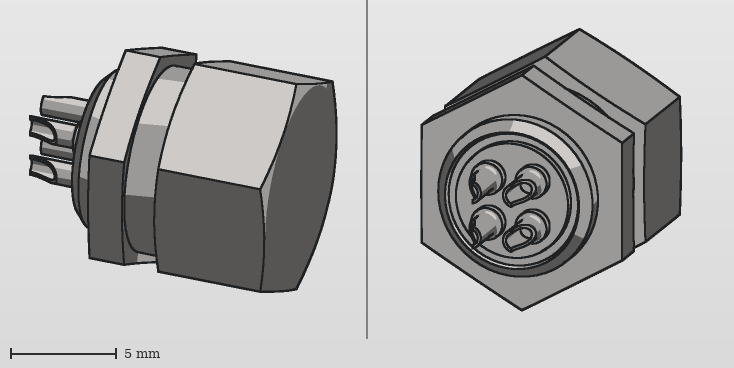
import cadquery as cq
import math

total_length = 13.3

across_flats = 10.0
across_corners = across_flats / math.cos(math.radians(30))
corner_radius = across_corners / 2

flange_front = 4.31
flange_front_angle = 5.0
flange_back_at_corners = 6.22
flange_back_angle = 8.0

body_diameter = 9.0

nut_front = 7.71
nut_chamfer_diameter = 9.84
nut_chamfer_angle = 15.0

ring_front = 2.99
ring_diameter = 7.7
ring_lip_diameter = 6.69
ring_chamfer = (ring_diameter - ring_lip_diameter) / 2
insulator_diameter = 5.6
recess_mouth_diameter = 6.45
recess_mouth_depth = 0.2
recess_undercut_diameter = 6.78
recess_depth = 0.44

pin_spacing = 2.21
pin_diameter = 1.1
pin_collar_diameter = 1.55
pin_collar_front = 2.5
pin_fillet = 0.2
cup_diameter = 0.8
cup_depth = 2.13
cup_drill_angle = 118.0
cup_scoop_radius = 2.21
cup_scoop_offset = 0.15


def turned(profile):
    """Revolve an outline of (x, radius) points about the X axis."""
    return cq.Workplane("XY").polyline(profile).close().revolve(360, (0, 0, 0), (1, 0, 0))


def hexagon(start, end):
    """Hexagonal bar along X with two corners on the Z axis."""
    bar = cq.Workplane("YZ").polygon(6, across_corners).extrude(end - start)
    return bar.rotate((0, 0, 0), (1, 0, 0), 90).translate((start, 0, 0))


def make_flange():
    """Thin hexagon with a raised conical front and a hollow conical back."""
    front_rise = (corner_radius - ring_diameter / 2) * math.tan(math.radians(flange_front_angle))
    back_rise = corner_radius * math.tan(math.radians(flange_back_angle))
    cone_limits = turned([
        (flange_front, 0),
        (flange_front, ring_diameter / 2),
        (flange_front + front_rise, corner_radius),
        (flange_back_at_corners, corner_radius),
        (flange_back_at_corners - back_rise, 0),
    ])
    return hexagon(flange_front, flange_back_at_corners).intersect(cone_limits)


def make_nut():
    """Long hexagon with its corners chamfered at both ends."""
    chamfer_radius = nut_chamfer_diameter / 2
    chamfer_length = (corner_radius - chamfer_radius) * math.tan(math.radians(nut_chamfer_angle))
    cone_limits = turned([
        (nut_front, 0),
        (nut_front, chamfer_radius),
        (nut_front + chamfer_length, corner_radius),
        (total_length - chamfer_length, corner_radius),
        (total_length, chamfer_radius),
        (total_length, 0),
    ])
    return hexagon(nut_front, total_length).intersect(cone_limits)


def make_body():
    """Collar ring, insulator and threaded body as one turned piece."""
    mouth_end = ring_front + recess_mouth_depth
    recess_floor = ring_front + recess_depth
    body_start = (flange_front + flange_back_at_corners) / 2
    return turned([
        (ring_front, 0),
        (ring_front, insulator_diameter / 2),
        (recess_floor, insulator_diameter / 2),
        (recess_floor, recess_undercut_diameter / 2),
        (mouth_end, recess_undercut_diameter / 2),
        (mouth_end, recess_mouth_diameter / 2),
        (ring_front, ring_lip_diameter / 2),
        (ring_front + ring_chamfer, ring_diameter / 2),
        (body_start, ring_diameter / 2),
        (body_start, body_diameter / 2),
        (total_length, body_diameter / 2),
        (total_length, 0),
    ])


def make_pin():
    """Pin on the X axis, its cup scooped open towards +Y."""
    shaft_radius = pin_diameter / 2
    collar_radius = pin_collar_diameter / 2
    embedded_end = ring_front + recess_depth
    fillet_start = pin_collar_front - pin_fillet
    fillet_sag = pin_fillet * math.sqrt(0.5)
    fillet_middle = (fillet_start + fillet_sag, shaft_radius + pin_fillet - fillet_sag)
    pin = (
        cq.Workplane("XY")
        .lineTo(0, shaft_radius)
        .lineTo(fillet_start, shaft_radius)
        .threePointArc(fillet_middle, (pin_collar_front, shaft_radius + pin_fillet))
        .lineTo(pin_collar_front, collar_radius)
        .lineTo(embedded_end, collar_radius)
        .lineTo(embedded_end, 0)
        .close()
        .revolve(360, (0, 0, 0), (1, 0, 0))
    )
    cup_radius = cup_diameter / 2
    drill_point = cup_radius / math.tan(math.radians(cup_drill_angle / 2))
    cup = turned([
        (0, 0),
        (0, cup_radius),
        (cup_depth, cup_radius),
        (cup_depth + drill_point, 0),
    ])
    scoop = (
        cq.Workplane("XY")
        .center(0, cup_scoop_radius - cup_scoop_offset)
        .circle(cup_scoop_radius)
        .extrude(pin_diameter, both=True)
    )
    return pin.cut(cup).cut(scoop)


result = make_body().union(make_flange()).union(make_nut())

pin_offset = pin_spacing / 2
outward_pin = make_pin()
for side_angle in (0, 180):
    pin = outward_pin.rotate((0, 0, 0), (1, 0, 0), side_angle)
    pin_y = pin_offset * math.cos(math.radians(side_angle))
    for pin_z in (-pin_offset, pin_offset):
        result = result.union(pin.translate((0, pin_y, pin_z)))